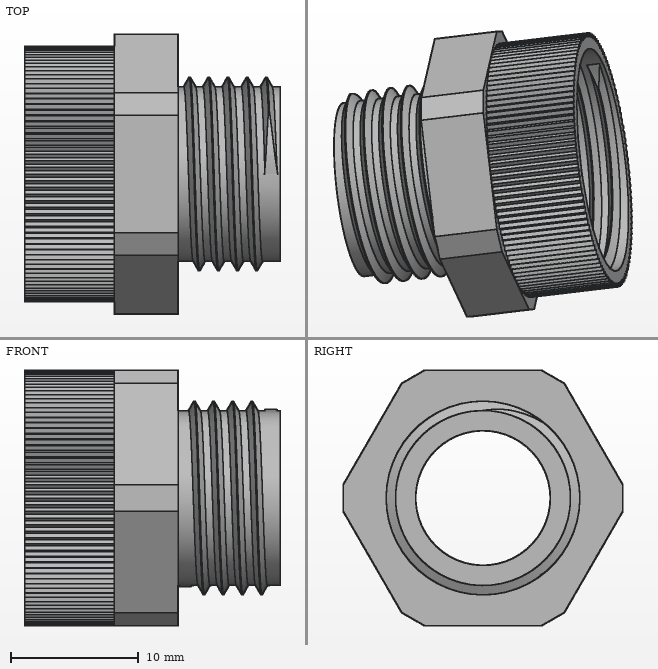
import cadquery as cq
import math

KNURL_LENGTH = 7.0
HEX_LENGTH = 5.0
SPIGOT_LENGTH = 8.0
SPIGOT_START = KNURL_LENGTH + HEX_LENGTH
TOTAL_LENGTH = SPIGOT_START + SPIGOT_LENGTH

HEX_ACROSS_FLATS = 20.0
HEX_ACROSS_CORNERS = 21.9

KNURL_TEETH = 120
KNURL_DIAMETER = 20.02
KNURL_DEPTH = 0.28

SPIGOT_DIAMETER = 13.69
BORE_DIAMETER = 10.51
SOCKET_DIAMETER = 17.52
SOCKET_DEPTH = 9.0
CONE_DIAMETER = 16.2
CONE_LENGTH = 1.0

RIDGE_BASE_WIDTH = 1.03
RIDGE_CREST_WIDTH = 0.09
RIDGE_EMBED = 0.09
STEPS_PER_TURN = 36
MIN_STEPS = 4

OUTER_CREST_DIAMETER = 15.15
OUTER_RIDGE_START = SPIGOT_START + 0.53
OUTER_RIDGE_START_ANGLE = 180.0
OUTER_RIDGE_TURNS = 4.5
OUTER_RIDGE_ADVANCE = 6.75
OUTER_RIDGE_RUNOUT = [(0, 0), (12 / 360, 0.35), (40 / 360, 1)]

PITCH = OUTER_RIDGE_ADVANCE / OUTER_RIDGE_TURNS

INNER_CREST_DIAMETER = 15.92
INNER_RIDGE_START = 0.77
INNER_RIDGE_START_ANGLE = 0.0
INNER_RIDGE_TURNS = 6.0
INNER_RIDGE_RUNOUT = [(0, 0), (14 / 360, 1)]


def cylinder(diameter, start, length):
    return cq.Workplane("YZ", origin=(start, 0, 0)).circle(diameter / 2).extrude(length)


def knurled_sleeve():
    """Sleeve with straight V teeth all round."""
    outer = KNURL_DIAMETER / 2
    points = []
    for index in range(2 * KNURL_TEETH):
        radius = outer - KNURL_DEPTH * (index % 2)
        angle = math.pi * index / KNURL_TEETH
        points.append((radius * math.cos(angle), radius * math.sin(angle)))
    return cq.Workplane("YZ").polyline(points).close().extrude(KNURL_LENGTH)


def hexagon_prism(across_flats, rotation):
    """Hexagonal prism; at zero rotation two flats face up and down."""
    across_corners = across_flats / math.cos(math.pi / 6)
    plane = cq.Workplane("YZ", origin=(KNURL_LENGTH, 0, 0))
    prism = plane.polygon(6, across_corners).extrude(HEX_LENGTH)
    return prism.rotate((0, 0, 0), (1, 0, 0), rotation)


def hex_collar():
    """Hexagon with its six corners cut flat."""
    return hexagon_prism(HEX_ACROSS_FLATS, 0).intersect(hexagon_prism(HEX_ACROSS_CORNERS, 30))


def thread_ridge(wall_diameter, crest_diameter, start, start_angle, turns, runout):
    """Right-handed ridge on a wall, running down into it at both ends.

    It rises outward or inward, from the wall diameter to the crest diameter. The
    start angle is measured from +Z toward -Y.
    """
    wall_radius = wall_diameter / 2
    height = crest_diameter / 2 - wall_radius
    root_rise = -math.copysign(RIDGE_EMBED, height)
    flank_run = (RIDGE_BASE_WIDTH - RIDGE_CREST_WIDTH) / 2

    def point(turn, rise, side):
        angle = math.radians(start_angle) + 2 * math.pi * turn
        radius = wall_radius + rise
        half_width = RIDGE_BASE_WIDTH / 2 - flank_run * max(rise / height, 0)
        x = start + PITCH * turn + side * half_width
        return cq.Vector(x, -radius * math.sin(angle), radius * math.cos(angle))

    def edge(first, last, side, on_crest):
        steps = max(MIN_STEPS, round((last[0] - first[0]) * STEPS_PER_TURN))
        points = []
        for step in range(steps + 1):
            turn = first[0] + (last[0] - first[0]) * step / steps
            share = first[1] + (last[1] - first[1]) * step / steps
            points.append(point(turn, share * height if on_crest else root_rise, side))
        return cq.Edge.makeSpline(points)

    def section_edges(first, last):
        corners = [(-1, False), (-1, True), (1, True), (1, False)]
        return [edge(first, last, side, on_crest) for side, on_crest in corners]

    def end_cap(edges, position):
        corners = [curve.positionAt(position) for curve in edges]
        return cq.Face.makeFromWires(cq.Wire.makePolygon(corners, close=True))

    stations = runout + [(turns - turn, share) for turn, share in reversed(runout)]
    sections = [section_edges(first, last) for first, last in zip(stations, stations[1:])]
    faces = [end_cap(sections[0], 0), end_cap(sections[-1], 1)]
    for edges in sections:
        for first, second in zip(edges, edges[1:] + edges[:1]):
            faces.append(cq.Face.makeRuledSurface(first, second))
    return cq.Workplane(cq.Solid.makeSolid(cq.Shell.makeShell(faces)))


def bore():
    """Socket with a flat ledge, conical floor and through bore, turned about X."""
    profile = [
        (0, 0),
        (0, SOCKET_DIAMETER / 2),
        (SOCKET_DEPTH, SOCKET_DIAMETER / 2),
        (SOCKET_DEPTH, CONE_DIAMETER / 2),
        (SOCKET_DEPTH + CONE_LENGTH, BORE_DIAMETER / 2),
        (TOTAL_LENGTH, BORE_DIAMETER / 2),
        (TOTAL_LENGTH, 0),
    ]
    return cq.Workplane("XY").polyline(profile).close().revolve(360, (0, 0, 0), (1, 0, 0))


outer_ridge = thread_ridge(
    SPIGOT_DIAMETER, OUTER_CREST_DIAMETER, OUTER_RIDGE_START,
    OUTER_RIDGE_START_ANGLE, OUTER_RIDGE_TURNS, OUTER_RIDGE_RUNOUT,
)
inner_ridge = thread_ridge(
    SOCKET_DIAMETER, INNER_CREST_DIAMETER, INNER_RIDGE_START,
    INNER_RIDGE_START_ANGLE, INNER_RIDGE_TURNS, INNER_RIDGE_RUNOUT,
)

body = knurled_sleeve().union(hex_collar())
body = body.union(cylinder(SPIGOT_DIAMETER, SPIGOT_START, SPIGOT_LENGTH))
body = body.cut(bore())
result = body.union(outer_ridge).union(inner_ridge)